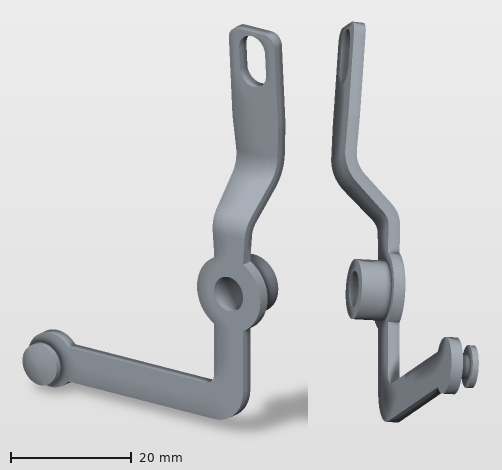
import cadquery as cq
import math

sheet = 2.0

hub_radius = 6.58
hub_hole_diameter = 6.0
boss_diameter = 10.0
boss_length = 5.0
arm_width = 6.0
pivot_x = -37.0
pivot_z = -19.65
pivot_radius = 4.72
elbow_outer_radius = 6.0
elbow_inner_radius = 2.0

stem_diameter = 4.0
stem_length = 2.0
head_diameter = 7.1
head_rim = 1.0
head_dome = 0.5

top_z = pivot_z - pivot_radius + 68.9
bend_start_z = 10.4
lower_bend_radius = 4.95
upper_bend_radius = 4.95
slope_angle = math.radians(45)
tip_angle = math.radians(4)
slope_length = 6.8
tip_width = 9.5
taper_bottom_z = 6.2
taper_top_z = 28.4
tip_corner_radius = 2.0
slot_width = 5.4
slot_length = 9.2
slot_tip_margin = 0.75

tip_along = (-math.sin(tip_angle), math.cos(tip_angle))
tip_normal = (math.cos(tip_angle), math.sin(tip_angle))


def shift(point, direction, distance):
    """Move a 2D point along a direction."""
    return (point[0] + distance * direction[0], point[1] + distance * direction[1])


def arc_point(center, radius, angle):
    """Point on a circle in the YZ plane, with the angle measured from +Y towards +Z."""
    return shift(center, (math.cos(angle), math.sin(angle)), radius)


def cylinder(x, z, diameter, y_start, y_end):
    """Cylinder along Y between two Y positions."""
    disc = cq.Workplane("XZ", origin=(x, y_start, z)).circle(diameter / 2)
    return disc.extrude(y_start - y_end)


def lower_plate():
    """L-shaped flat arm joining the hub and pivot discs."""
    half = arm_width / 2
    arm = (
        cq.Workplane("XZ")
        .moveTo(-half, 0)
        .lineTo(half, 0)
        .lineTo(half, pivot_z - half + elbow_outer_radius)
        .radiusArc((half - elbow_outer_radius, pivot_z - half), elbow_outer_radius)
        .lineTo(pivot_x, pivot_z - half)
        .lineTo(pivot_x, pivot_z + half)
        .lineTo(-half - elbow_inner_radius, pivot_z + half)
        .radiusArc((-half, pivot_z + half + elbow_inner_radius), -elbow_inner_radius)
        .close()
        .extrude(-sheet)
    )
    hub = cylinder(0, 0, 2 * hub_radius, 0, sheet)
    pivot = cylinder(pivot_x, pivot_z, 2 * pivot_radius, 0, sheet)
    return arm.union(hub).union(pivot)


def upper_lever():
    """Double-bent, tapered lever with a slotted tip."""
    lower_center = (lower_bend_radius, bend_start_z)
    slope_start = arc_point(lower_center, lower_bend_radius, math.pi - slope_angle)
    slope_end = shift(slope_start, (math.sin(slope_angle), math.cos(slope_angle)), slope_length)
    upper_center = arc_point(slope_end, upper_bend_radius, math.pi - slope_angle)
    tip_start = shift(upper_center, tip_normal, upper_bend_radius)
    back_tip_start = shift(tip_start, tip_normal, sheet)
    tip_length = (top_z - back_tip_start[1]) / tip_along[1]
    tip_end = shift(tip_start, tip_along, tip_length)

    lower_mid = math.pi - slope_angle / 2
    upper_mid = (tip_angle - slope_angle) / 2
    lower_back_radius = lower_bend_radius - sheet
    upper_back_radius = upper_bend_radius + sheet
    profile = (
        cq.Workplane("YZ", origin=(-tip_width / 2, 0, 0))
        .moveTo(0, 0)
        .lineTo(0, bend_start_z)
        .threePointArc(arc_point(lower_center, lower_bend_radius, lower_mid), slope_start)
        .lineTo(*slope_end)
        .threePointArc(arc_point(upper_center, upper_bend_radius, upper_mid), tip_start)
        .lineTo(*tip_end)
        .lineTo(*shift(tip_end, tip_normal, sheet))
        .lineTo(*back_tip_start)
        .threePointArc(
            arc_point(upper_center, upper_back_radius, upper_mid),
            arc_point(upper_center, upper_back_radius, -slope_angle),
        )
        .lineTo(*arc_point(lower_center, lower_back_radius, math.pi - slope_angle))
        .threePointArc(
            arc_point(lower_center, lower_back_radius, lower_mid), (sheet, bend_start_z)
        )
        .lineTo(sheet, 0)
        .close()
        .extrude(tip_width)
    )

    right_side = [
        (arm_width / 2, 0),
        (arm_width / 2, taper_bottom_z),
        (tip_width / 2, taper_top_z),
        (tip_width / 2, top_z),
    ]
    left_side = [(-x, z) for x, z in reversed(right_side)]
    outline_depth = 34.45
    outline = cq.Workplane("XZ").polyline(right_side + left_side).close()
    lever = profile.intersect(outline.extrude(outline_depth / 2, both=True))

    normal = cq.Vector(0, *tip_normal)
    lever = lever.faces(">Z").edges(cq.selectors.ParallelDirSelector(normal)).fillet(tip_corner_radius)

    slot_center = shift(tip_end, tip_along, -slot_tip_margin - slot_length / 2)
    slot_plane = cq.Plane(origin=(0, *slot_center), xDir=(1, 0, 0), normal=(0, *tip_normal))
    slot = cq.Workplane(slot_plane).slot2D(slot_length, slot_width, 90).extrude(2 * sheet, both=True)
    return lever.cut(slot)


def headed_pin():
    """Stem with a domed head, standing in front of the pivot disc."""
    head_radius = head_diameter / 2
    rim_y = -stem_length - head_rim
    dome_radius = (head_radius**2 + head_dome**2) / (2 * head_dome)
    return (
        cq.Workplane("XY", origin=(pivot_x, 0, pivot_z))
        .moveTo(0, 0)
        .lineTo(stem_diameter / 2, 0)
        .lineTo(stem_diameter / 2, -stem_length)
        .lineTo(head_radius, -stem_length)
        .lineTo(head_radius, rim_y)
        .radiusArc((0, rim_y - head_dome), dome_radius)
        .close()
        .revolve(360, (0, 0), (0, 1))
    )


boss_end = sheet + boss_length
boss = cylinder(0, 0, boss_diameter, sheet, boss_end)
hub_hole = cylinder(0, 0, hub_hole_diameter, 0, boss_end)

result = lower_plate().union(upper_lever()).union(boss).union(headed_pin()).cut(hub_hole)